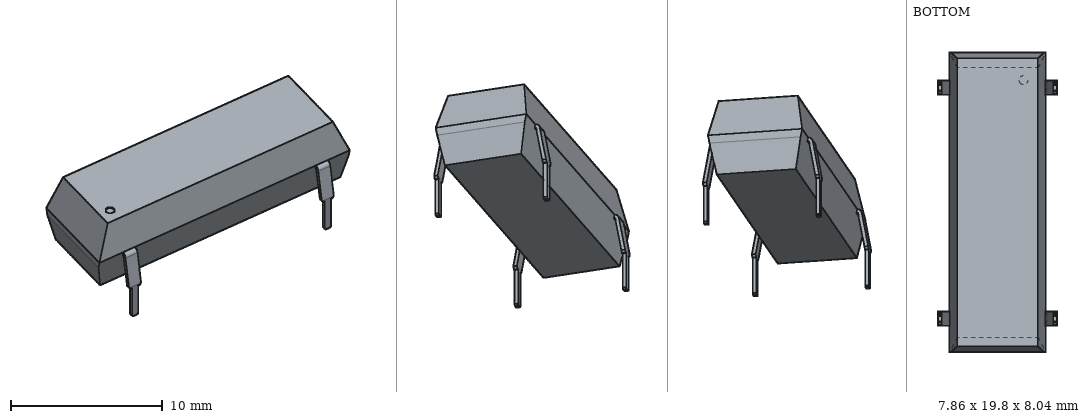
import cadquery as cq
import math


body_length = 19.8
body_width = 6.38
face_width = 5.35
top_height = 2.67
bottom_depth = 2.63
band_depth = 0.53
top_end_inset = 0.99
bottom_end_inset = 0.4

dot_diameter = 0.6
dot_depth = 0.1
dot_x = 1.7
dot_from_end = 1.82

lead_span = 7.86
lead_thickness = 0.25
lead_width = 0.95
tip_width = 0.5
lead_pitch = 15.25
lead_shift = 0.05
lead_drop = 5.37
lead_lean = math.radians(10.5)
outer_bend_radius = 0.307
shoulder_top = 2.63
shoulder_height = 0.18
shoulder_taper = 0.12
tip_bevel_width = 0.08
tip_bevel_height = 0.1

half_length = body_length / 2
half_width = body_width / 2
half_face = face_width / 2


def make_body():
    """Intersect the end profile, run along Y, with the side profile, run along X."""
    end_profile = (
        cq.Workplane("XZ")
        .polyline([
            (-half_face, -bottom_depth),
            (half_face, -bottom_depth),
            (half_width, 0),
            (half_face, top_height),
            (-half_face, top_height),
            (-half_width, 0),
        ])
        .close()
        .extrude(half_length, both=True)
    )
    top_end = half_length - top_end_inset
    bottom_end = half_length - bottom_end_inset
    side_profile = (
        cq.Workplane("YZ")
        .polyline([
            (-bottom_end, -bottom_depth),
            (bottom_end, -bottom_depth),
            (half_length, -band_depth),
            (half_length, 0),
            (top_end, top_height),
            (-top_end, top_height),
            (-half_length, 0),
            (-half_length, -band_depth),
        ])
        .close()
        .extrude(half_width, both=True)
    )
    dot = (
        cq.Workplane("XY", origin=(dot_x, dot_from_end - half_length, top_height - dot_depth))
        .circle(dot_diameter / 2)
        .extrude(dot_depth)
    )
    return end_profile.intersect(side_profile).cut(dot)


def bend_point(radius, angle):
    """Point on the upper bend, at an angle above horizontal about the bend centre."""
    return (
        half_width + radius * math.cos(angle),
        -outer_bend_radius + radius * math.sin(angle),
    )


def make_bent_strip():
    """Full-width +X lead: it leaves the body side, bends down, leans out, then drops straight."""
    inner_bend_radius = outer_bend_radius - lead_thickness
    mid_angle = (lead_lean + math.pi / 2) / 2
    outer_x = lead_span / 2
    inner_x = outer_x - lead_thickness
    outer_start = bend_point(outer_bend_radius, lead_lean)
    inner_start = bend_point(inner_bend_radius, lead_lean)
    outer_knee = outer_start[1] - (outer_x - outer_start[0]) / math.tan(lead_lean)
    inner_knee = inner_start[1] - (inner_x - inner_start[0]) / math.tan(lead_lean)

    side_slope = (half_width - half_face) / bottom_depth
    contact_x = half_width - lead_thickness * side_slope
    return (
        cq.Workplane("XZ")
        .moveTo(half_width, 0)
        .threePointArc(bend_point(outer_bend_radius, mid_angle), outer_start)
        .lineTo(outer_x, outer_knee)
        .lineTo(outer_x, -lead_drop)
        .lineTo(inner_x, -lead_drop)
        .lineTo(inner_x, inner_knee)
        .lineTo(*inner_start)
        .threePointArc(
            bend_point(inner_bend_radius, mid_angle),
            bend_point(inner_bend_radius, math.pi / 2),
        )
        .lineTo(contact_x, -lead_thickness)
        .close()
        .extrude(lead_width / 2, both=True)
    )


def make_lead():
    """Trim the bent strip to its shouldered and tapered outline along Y."""
    half_lead = lead_width / 2
    half_tip = tip_width / 2
    shoulder_bottom = -shoulder_top - shoulder_height
    right_edge = [
        (half_lead, 0),
        (half_lead, -shoulder_top),
        (half_lead - shoulder_taper, shoulder_bottom),
        (half_tip, shoulder_bottom),
        (half_tip, tip_bevel_height - lead_drop),
        (half_tip - tip_bevel_width, -lead_drop),
    ]
    left_edge = [(-y, z) for y, z in reversed(right_edge)]
    outline = (
        cq.Workplane("YZ")
        .polyline(right_edge + left_edge)
        .close()
        .extrude(lead_span / 2)
    )
    return make_bent_strip().intersect(outline)


def make_leads():
    """One lead on each side at both ends of the body."""
    leads = []
    for turn in (0, 180):
        for end in (-1, 1):
            lead = make_lead().rotate((0, 0, 0), (0, 0, 1), turn)
            leads.append(lead.translate((0, lead_shift + end * lead_pitch / 2, 0)))
    return leads


body = make_body()
leads = make_leads()

result = cq.Compound.makeCompound([body.val(), *[lead.val() for lead in leads]])